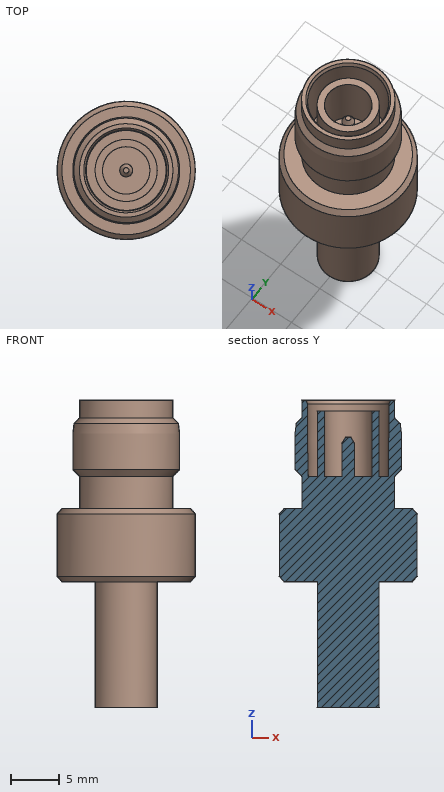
import cadquery as cq

TOTAL_HEIGHT = 31.8

TAIL_RADIUS = 3.2

BODY_RADIUS = 7.15
BODY_BOTTOM = 13.0
BODY_TOP = 20.6
BODY_CHAMFER_WIDTH = 0.5
BODY_CHAMFER_HEIGHT = 0.57

BARREL_RADIUS = 4.83
COLLAR_RADIUS = 5.53
COLLAR_BOTTOM = 23.9
COLLAR_TOP = 29.95
COLLAR_CHAMFER = COLLAR_RADIUS - BARREL_RADIUS
COLLAR_TAPER_BOTTOM = 28.33
COLLAR_TAPER_TOP = 29.38
COLLAR_TAPER_RADIUS = 5.4

MOUTH_RADIUS = 4.4
MOUTH_DEPTH = 0.38
BORE_TOP_RADIUS = 4.2
BORE_FLOOR_RADIUS = 4.13
BORE_FLOOR = COLLAR_BOTTOM

SLEEVE_OUTER_RADIUS = 3.2
SLEEVE_INNER_RADIUS = 2.45
SLEEVE_TOP = 30.7

PIN_RADIUS = 0.67
PIN_TIP_RADIUS = 0.3
PIN_TOP = 27.98
PIN_TIP_HEIGHT = 0.65


def revolve_outline(points):
    """Turn a closed (radius, height) outline into a solid about Z."""
    return cq.Workplane("XZ").polyline(points).close().revolve(360, (0, 0, 0), (0, 1, 0))


def outer_shell():
    body_face_radius = BODY_RADIUS - BODY_CHAMFER_WIDTH
    return revolve_outline([
        (0, 0),
        (TAIL_RADIUS, 0),
        (TAIL_RADIUS, BODY_BOTTOM),
        (body_face_radius, BODY_BOTTOM),
        (BODY_RADIUS, BODY_BOTTOM + BODY_CHAMFER_HEIGHT),
        (BODY_RADIUS, BODY_TOP - BODY_CHAMFER_HEIGHT),
        (body_face_radius, BODY_TOP),
        (BARREL_RADIUS, BODY_TOP),
        (BARREL_RADIUS, COLLAR_BOTTOM),
        (COLLAR_RADIUS, COLLAR_BOTTOM + COLLAR_CHAMFER),
        (COLLAR_RADIUS, COLLAR_TAPER_BOTTOM),
        (COLLAR_TAPER_RADIUS, COLLAR_TAPER_TOP),
        (BARREL_RADIUS, COLLAR_TOP),
        (BARREL_RADIUS, TOTAL_HEIGHT),
        (MOUTH_RADIUS, TOTAL_HEIGHT),
        (BORE_TOP_RADIUS, TOTAL_HEIGHT - MOUTH_DEPTH),
        (BORE_FLOOR_RADIUS, BORE_FLOOR),
        (0, BORE_FLOOR),
    ])


def insulating_sleeve():
    return (
        cq.Workplane("XY", origin=(0, 0, BORE_FLOOR))
        .circle(SLEEVE_OUTER_RADIUS)
        .circle(SLEEVE_INNER_RADIUS)
        .extrude(SLEEVE_TOP - BORE_FLOOR)
    )


def contact_pin():
    return revolve_outline([
        (0, BORE_FLOOR),
        (PIN_RADIUS, BORE_FLOOR),
        (PIN_RADIUS, PIN_TOP - PIN_TIP_HEIGHT),
        (PIN_TIP_RADIUS, PIN_TOP),
        (0, PIN_TOP),
    ])


result = outer_shell().union(insulating_sleeve()).union(contact_pin())